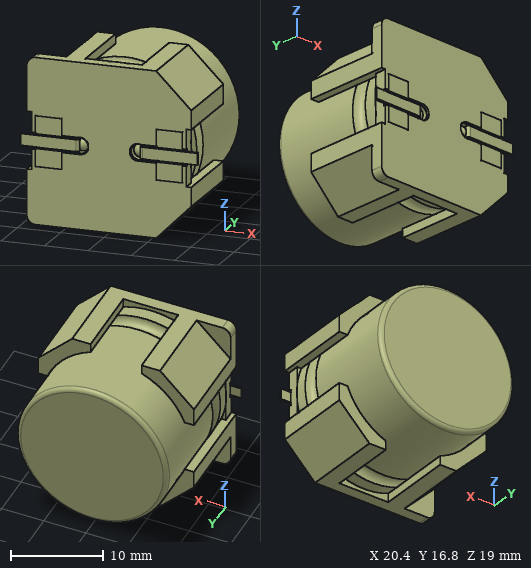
import cadquery as cq


lead_span = 20.4
base_width = 19.0
total_depth = 16.8
half_base = base_width / 2

can_diameter = 18.0
can_edge_radius = 0.5
groove_start = 3.05
groove_width = 1.98
groove_depth = groove_width / 2

plate_thickness = 1.5
corner_cut = 4.04
plate_corner_radius = 1.02
tall_post_top = 11.0
short_post_top = 10.0
post_gap = 6.53
side_recess_depth = 0.57

lead_width = 1.35
lead_thickness = 0.3
wire_x = 3.35
wire_diameter = 1.7
wire_hole_diameter = 1.8
lead_slot_width = 1.92
strip_end_x = 3.5
dome_tip_y = lead_thickness

pad_inner_x = 5.47
pad_length = 3.0
pad_height = 5.75
pad_channel_width = 1.67
pad_floor_thickness = 0.3
pad_center_x = pad_inner_x + pad_length / 2
pad_depth = lead_thickness + pad_floor_thickness

sides = (-1, 1)


def block(x_size, y_start, y_end, z_size, x_center=0.0):
    """Box centred on Z = 0 that runs from y_start to y_end."""
    return cq.Workplane("XY").box(x_size, y_end - y_start, z_size).translate(
        (x_center, (y_start + y_end) / 2, 0)
    )


def rod(diameter, y_start, y_end, x_center=0.0):
    """Cylinder along Y that runs from y_start to y_end."""
    return cq.Workplane("XZ", origin=(x_center, y_start, 0)).circle(diameter / 2).extrude(y_start - y_end)


def make_can():
    """Can with a rounded far edge and a crimped groove near the base."""
    radius = can_diameter / 2
    groove_end = groove_start + groove_width
    groove_middle = groove_start + groove_width / 2
    profile = (
        cq.Workplane("XY")
        .moveTo(0, plate_thickness)
        .lineTo(radius, plate_thickness)
        .lineTo(radius, groove_start)
        .threePointArc((radius - groove_depth, groove_middle), (radius, groove_end))
        .lineTo(radius, total_depth)
        .lineTo(0, total_depth)
        .close()
    )
    can = profile.revolve(360, (0, 0, 0), (0, 1, 0))
    return can.faces(">Y").edges().fillet(can_edge_radius)


def make_post_pair(side, top):
    """Two chamfered corner posts on one X side, hollowed around the can."""
    posts = block(half_base, plate_thickness, top, base_width, side * half_base / 2)
    outer_face = ">X" if side > 0 else "<X"
    posts = posts.faces(outer_face).edges("|Y").chamfer(corner_cut)
    posts = posts.cut(rod(can_diameter, plate_thickness, top))
    posts = posts.cut(block(base_width, plate_thickness, top, post_gap))
    return posts.cut(block(post_gap, plate_thickness, top, base_width))


def make_plate():
    """Base plate with rounded -X corners, chamfered +X corners and a recess in each side."""
    plate = block(base_width, 0, plate_thickness, base_width)
    plate = plate.faces(">X").edges("|Y").chamfer(corner_cut)
    plate = plate.faces("<X").edges("|Y").fillet(plate_corner_radius)
    for side in sides:
        recess_center_x = side * (half_base - side_recess_depth / 2)
        plate = plate.cut(block(side_recess_depth, 0, plate_thickness, post_gap, recess_center_x))
    return plate


def cut_lead_seat(base, side):
    """Cut the round-ended lead slot and the through hole for the wire."""
    slot_length = half_base - wire_x
    slot = block(slot_length, 0, lead_thickness, lead_slot_width, side * (wire_x + slot_length / 2))
    slot_end = rod(lead_slot_width, 0, lead_thickness, side * wire_x)
    wire_hole = rod(wire_hole_diameter, 0, plate_thickness, side * wire_x)
    return base.cut(slot).cut(slot_end).cut(wire_hole)


def make_base():
    """Plate with its corner posts, lead seats and pad pockets."""
    base = make_plate()
    base = base.union(make_post_pair(-1, tall_post_top))
    base = base.union(make_post_pair(1, short_post_top))
    for side in sides:
        base = cut_lead_seat(base, side)
        base = base.cut(block(pad_length, 0, pad_depth, pad_height, side * pad_center_x))
    return base


def make_lead(side):
    """Flat strip with a rounded bend into a dome-ended wire that reaches the can."""
    wire_radius = wire_diameter / 2
    dome_center_y = dome_tip_y + wire_radius
    strip = (
        cq.Workplane("XY", origin=(0, 0, -lead_width / 2))
        .moveTo(lead_span / 2, 0)
        .lineTo(strip_end_x + lead_thickness, 0)
        .radiusArc((strip_end_x, lead_thickness), lead_thickness)
        .lineTo(strip_end_x, dome_center_y)
        .lineTo(strip_end_x + lead_thickness, dome_center_y)
        .lineTo(strip_end_x + lead_thickness, lead_thickness)
        .lineTo(lead_span / 2, lead_thickness)
        .close()
        .extrude(lead_width)
    )
    wire = (
        cq.Workplane("XY", origin=(wire_x, 0, 0))
        .moveTo(0, dome_tip_y)
        .radiusArc((wire_radius, dome_center_y), -wire_radius)
        .lineTo(wire_radius, plate_thickness)
        .lineTo(0, plate_thickness)
        .close()
        .revolve(360, (0, 0, 0), (0, 1, 0))
    )
    lead = strip.union(wire)
    return lead if side > 0 else lead.mirror("YZ")


def make_pad(side):
    """Rectangular pad with a channel that the lead passes through."""
    center_x = side * pad_center_x
    pad = block(pad_length, 0, pad_depth, pad_height, center_x)
    return pad.cut(block(pad_length, 0, lead_thickness, pad_channel_width, center_x))


can = make_can()
base = make_base()
leads = [make_lead(side) for side in sides]
pads = [make_pad(side) for side in sides]

result = cq.Compound.makeCompound(
    [can.val(), base.val(), *[lead.val() for lead in leads], *[pad.val() for pad in pads]]
)